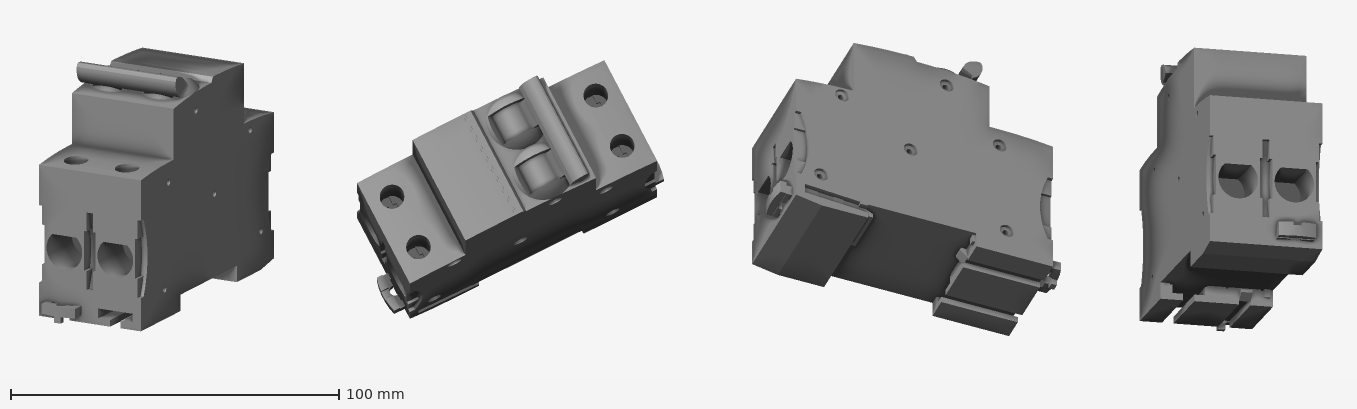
import cadquery as cq


width = 35.4
half_width = width / 2
pole_pitch = width / 2
pole_centres = [-pole_pitch / 2, pole_pitch / 2]
half_length = 42.3
rail_ceiling = 5.2
rail_front = -17.1
rail_rear = 18.6
base_chamfer_length = 8.5
base_chamfer_height = 1.6

deck_end_height = 47.9
deck_mid_height = 48.85
deck_height = 49.15
deck_curve_start = 23.3
deck_curve_mid = (half_length + deck_curve_start) / 2
tower_front = -21.4
tower_rear = deck_curve_start
tower_front_height = 65.3
tower_rear_height = 68.3
label_mid = (14.8, 68.9)
label_end = (3.5, 69.1)
step_foot = (2.5, 67.4)
lever_face_mid = (-9.5, 66.85)

ridge_centres = [5.4, 6.1]
ridge_width = 0.3
ridge_top = 69.3
ridge_height = 0.8

pivot_y = -7.35
pivot_z = 61.15
dome_radius = 10.75
slot_width = 10.0
rotor_radius = 6.75
slot_rear_foot = (-2.0, 65.2)
slot_rear_top = (2.3, 72.0)
slot_front_foot = (-12.6, 63.9)
slot_front_top = (-20.6, 72.0)

rivet_diameter = 2.0
rivet_head_diameter = 4.6
rivet_head_depth = 1.0
rivet_places = [
    (pivot_y, pivot_z),
    (27.1, 46.1),
    (-24.8, 42.8),
    (4.5, 31.7),
    (34.0, 12.3),
    (-27.1, 9.4),
]

screw_y = 34.85
screw_diameter = 7.5
screw_bore_floor = 30.0
screw_thickness = 4.0
screw_slot_width = 1.5
screw_slot_depth = 1.0
screw_cross_length = 3.6
cable_diameter = 12.4
cable_z = 22.0
cable_flat_z = 26.6
cable_depth = 16.0

groove_z = 22.8
groove_height = 24.6
groove_end_depth = 1.75
groove_mid_depth = 4.3
groove_width = 2.2
groove_wide_width = 3.9
groove_wide_height = 12.6

clip_x = pole_centres[0]
clip_zone = (0, 10.0)
clip_head_width = 11.6
clip_head_side = 46.15
clip_head_mid = 46.95
channel_width = 11.9
channel_floor = 2.1
channel_stem_width = 3.6
channel_rib = 0.8
channel_rib_top = 4.75
channel_rib_length = 24.0
tongue_width = 2 * (channel_width / 2 - channel_rib)
hook_nose = [(-14.9, 4.3), (-14.7, 3.9), (-14.7, 3.3)]
hook_foot = 1.1
hook_width = channel_stem_width
pin_width = 2.3
pin_start = -44.9
pin_end = -46.7
lip_thickness = 0.9
lip_inset = 1.0
lip_bottom = 2.6

cutout_width = 7.3
cutout_shoulder = 1.5
cutout_notch_width = 3.1
cutout_notch_end = 3.4

rear_head_start = 44.2
rear_head_bottom = 3.9
rear_head_top = 8.3
rear_cutout_shift = -1.1
rear_groove_width = 2.8
rear_groove_depth = 1.0
rear_tongue = [
    (half_length, 7.0),
    (21.1, 5.5),
    (21.1, 4.75),
    (rail_rear, 4.75),
    (16.2, 3.4),
    (16.2, channel_floor),
    (19.5, channel_floor),
    (half_length, 3.7),
]
window_rear = 39.4
window_depth = 1.5
rear_wing_width = 2 * (clip_x - (-half_width + window_depth))
rear_notches = [(29.4, 34.4), (0, 26.0)]
rear_notch_depth = 0.2

bar_length = 34.4
neck_width = 9.0
neck_thickness = 3.2
neck_angle = 48.5
neck_length = 11.5
bar_base_left = (-12.75, 70.5)
bar_shoulder = (-13.7, 72.3)
bar_top_mid = (-15.5, 73.75)
bar_tip_left = (-18.4, 74.28)
bar_tip = (-18.9, 74.0)
bar_tip_right = (-19.2, 73.2)
bar_front_mid = (-18.6, 69.6)
bar_base_right = (-16.2, 67.5)
bar_heel = (-16.0, 68.3)


def box(x_range, y_range, z_range):
    size = [high - low for low, high in (x_range, y_range, z_range)]
    corner = (x_range[0], y_range[0], z_range[0])
    return cq.Workplane("XY").box(*size, centered=False).translate(corner)


def span(centre, size):
    return (centre - size / 2, centre + size / 2)


def prism(outline, x_range):
    """Extrude a closed (Y, Z) outline along X."""
    length = x_range[1] - x_range[0]
    return outline(cq.Workplane("YZ", origin=(x_range[0], 0, 0))).close().extrude(length)


def polygon_prism(points, x_range):
    return prism(lambda plane: plane.polyline(points), x_range)


def x_cylinder(y, z, diameter, x_range):
    plane = cq.Workplane("YZ", origin=(x_range[0], y, z))
    return plane.circle(diameter / 2).extrude(x_range[1] - x_range[0])


def both_ends(solid):
    """A feature of the front end together with its mirror image at the rear end."""
    return [solid, solid.mirror("XZ")]


def housing_outline(plane):
    return (
        plane.moveTo(-half_length, 0)
        .lineTo(rail_front, 0)
        .lineTo(rail_front, rail_ceiling)
        .lineTo(rail_rear, rail_ceiling)
        .lineTo(rail_rear, 0)
        .lineTo(half_length - base_chamfer_length, 0)
        .lineTo(half_length, base_chamfer_height)
        .lineTo(half_length, deck_end_height)
        .threePointArc((deck_curve_mid, deck_mid_height), (deck_curve_start, deck_height))
        .lineTo(tower_rear, tower_rear_height)
        .threePointArc(label_mid, label_end)
        .lineTo(*step_foot)
        .threePointArc(lever_face_mid, (tower_front, tower_front_height))
        .lineTo(tower_front, deck_height)
        .lineTo(-deck_curve_start, deck_height)
        .threePointArc((-deck_curve_mid, deck_mid_height), (-half_length, deck_end_height))
    )


def dome(x):
    ball = cq.Workplane("XY").sphere(dome_radius).translate((x, pivot_y, pivot_z))
    return ball.intersect(
        box(span(x, pole_pitch), span(pivot_y, 2 * dome_radius), (pivot_z, pivot_z + dome_radius))
    )


def rotor_disc(x):
    return x_cylinder(pivot_y, pivot_z, 2 * rotor_radius, span(x, slot_width))


def lever_slot(x):
    """Pocket that holds the rotor disc, opening upwards between two sloping end walls."""
    opening = [(pivot_y, pivot_z), slot_rear_foot, slot_rear_top, slot_front_top, slot_front_foot]
    return rotor_disc(x).union(polygon_prism(opening, span(x, slot_width)))


def screw_bore(x):
    plane = cq.Workplane("XY", origin=(x, -screw_y, screw_bore_floor))
    return plane.circle(screw_diameter / 2).extrude(deck_height - screw_bore_floor)


def cable_bore(x):
    plane = cq.Workplane("XZ", origin=(x, -half_length, cable_z))
    bore = plane.circle(cable_diameter / 2).extrude(-cable_depth)
    flat = box(
        span(x, cable_diameter),
        (-half_length, -half_length + cable_depth),
        (cable_flat_z, cable_z + cable_diameter),
    )
    return bore.cut(flat)


def end_groove(x):
    """Groove with an arched floor, wider over its middle height."""
    bottom, top = span(groove_z, groove_height)
    end_y = -half_length + groove_end_depth
    arched = prism(
        lambda plane: plane.moveTo(-half_length, bottom)
        .lineTo(end_y, bottom)
        .threePointArc((-half_length + groove_mid_depth, groove_z), (end_y, top))
        .lineTo(-half_length, top),
        span(x, groove_wide_width),
    )
    depth_range = (-half_length, -half_length + groove_mid_depth)
    narrow = box(span(x, groove_width), depth_range, (bottom, top))
    wide = box(span(x, groove_wide_width), depth_range, span(groove_z, groove_wide_height))
    return arched.intersect(narrow.union(wide))


def front_channel(x):
    """T-shaped clip channel, narrowed towards the rail by a tapered rib on each side."""
    length = (-half_length, rail_front)
    channel = box(span(x, channel_width), length, (channel_floor, rail_ceiling))
    stem = box(span(x, channel_stem_width), length, (0, channel_floor))
    for side in (-1, 1):
        wall = x + side * channel_width / 2
        rib = (
            cq.Workplane("XY", origin=(0, 0, channel_floor))
            .polyline(
                [
                    (wall, rail_front - channel_rib_length),
                    (wall, rail_front),
                    (wall - side * channel_rib, rail_front),
                ]
            )
            .close()
            .extrude(channel_rib_top - channel_floor)
        )
        channel = channel.cut(rib)
    return channel.union(stem)


def rail_lip():
    return box(
        (-half_width + lip_inset, clip_x - channel_width / 2),
        (rail_front, rail_front + lip_thickness),
        (lip_bottom, rail_ceiling),
    )


def rear_tongue_solid():
    """Sloping, hooked tongue of the rear clip, with wings that reach under the side window."""
    tongue = polygon_prism(rear_tongue, span(clip_x, channel_width))
    wings = polygon_prism(rear_tongue, span(clip_x, rear_wing_width))
    return tongue.union(wings.intersect(window_region()))


def window_region():
    return box((-half_width, half_width), (0, window_rear), clip_zone)


def rear_channel():
    """Recess that fits the rear tongue, open to the -X side as a long window."""
    window = polygon_prism(rear_tongue, (-half_width, clip_x)).intersect(window_region())
    return rear_tongue_solid().union(window)


def make_housing():
    body = prism(housing_outline, (-half_width, half_width))
    for y in ridge_centres:
        ridge = box((-half_width, half_width), span(y, ridge_width), (ridge_top - ridge_height, ridge_top))
        body = body.union(ridge)
    body = body.union(rail_lip())
    for x in pole_centres:
        body = body.union(dome(x)).cut(lever_slot(x)).cut(front_channel(x))
        for bore in both_ends(screw_bore(x)) + both_ends(cable_bore(x)):
            body = body.cut(bore)
    for x in (-half_width, 0, half_width):
        for groove in both_ends(end_groove(x)):
            body = body.cut(groove)
    for y, z in rivet_places:
        body = body.cut(x_cylinder(y, z, rivet_diameter, (-half_width, half_width)))
        head_range = (-half_width, -half_width + rivet_head_depth)
        body = body.cut(x_cylinder(y, z, rivet_head_diameter, head_range))
    return body.cut(rear_channel())


def neck(x):
    arm = box(span(x, neck_width), span(0, neck_thickness), (0, neck_length))
    arm = arm.rotate((0, 0, 0), (1, 0, 0), 90 - neck_angle)
    return arm.translate((0, pivot_y, pivot_z))


def bar_outline(plane):
    return (
        plane.moveTo(*bar_base_left)
        .lineTo(*bar_shoulder)
        .threePointArc(bar_top_mid, bar_tip_left)
        .lineTo(*bar_tip)
        .lineTo(*bar_tip_right)
        .threePointArc(bar_front_mid, bar_base_right)
        .lineTo(*bar_heel)
    )


def make_handle():
    handle = prism(bar_outline, span(0, bar_length))
    for x in pole_centres:
        handle = handle.union(rotor_disc(x)).union(neck(x))
    return handle.cut(x_cylinder(pivot_y, pivot_z, rivet_diameter, (-half_width, half_width)))


def make_screw(x, y):
    top = screw_bore_floor + screw_thickness
    plane = cq.Workplane("XY", origin=(x, y, screw_bore_floor))
    head = plane.circle(screw_diameter / 2).extrude(screw_thickness)
    slot_range = (top - screw_slot_depth, top)
    slot = box(span(x, screw_diameter), span(y, screw_slot_width), slot_range)
    cross = box(span(x, screw_slot_width), span(y, screw_cross_length), slot_range)
    return head.cut(slot).cut(cross)


def clip_head(inner, z_range):
    """Plate with a bowed outer edge, placed at the front end of the breaker."""
    left, right = span(clip_x, clip_head_width)
    return (
        cq.Workplane("XY", origin=(0, 0, z_range[0]))
        .moveTo(left, -inner)
        .lineTo(left, -clip_head_side)
        .threePointArc((clip_x, -clip_head_mid), (right, -clip_head_side))
        .lineTo(right, -inner)
        .close()
        .extrude(z_range[1] - z_range[0])
    )


def clip_cutout(shift):
    """Screwdriver opening: a wide mouth at the housing wall and a rounded notch beyond it."""
    mouth_y = -half_length - shift
    shoulder_y = mouth_y - cutout_shoulder
    notch_left, notch_right = span(clip_x, cutout_notch_width)
    mouth = box(span(clip_x, cutout_width), (shoulder_y, mouth_y), clip_zone)
    notch = (
        cq.Workplane("XY")
        .moveTo(notch_left, shoulder_y)
        .threePointArc((clip_x, mouth_y - cutout_notch_end), (notch_right, shoulder_y))
        .close()
        .extrude(clip_zone[1])
    )
    return mouth.union(notch).intersect(
        box(span(clip_x, cutout_width), (-clip_head_mid, -half_length), clip_zone)
    )


def make_front_clip():
    head = clip_head(half_length, (channel_floor, rail_ceiling)).cut(clip_cutout(0))
    pin = box(span(clip_x, pin_width), (pin_end, pin_start), (0, channel_floor))
    tongue = box(span(clip_x, tongue_width), (-half_length, rail_front), (channel_floor, rail_ceiling))
    hook_profile = [(rail_front, hook_nose[0][1]), *hook_nose, (rail_front, hook_foot)]
    hook = polygon_prism(hook_profile, span(clip_x, hook_width))
    return head.union(pin).union(tongue).union(hook)


def make_rear_clip():
    head = clip_head(rear_head_start, (rear_head_bottom, rear_head_top))
    plate_heights = (rear_tongue[-1][1], rear_tongue[0][1])
    plate = box(span(clip_x, clip_head_width), (-rear_head_start, -half_length), plate_heights)
    groove = box(
        span(clip_x, rear_groove_width),
        (-clip_head_mid, -rear_head_start),
        (rear_head_top - rear_groove_depth, rear_head_top),
    )
    outside = head.union(plate).cut(groove).cut(clip_cutout(rear_cutout_shift)).mirror("XZ")
    tongue = rear_tongue_solid()
    side = clip_x - rear_wing_width / 2
    for y_range in rear_notches:
        tongue = tongue.cut(box((side, side + rear_notch_depth), y_range, clip_zone))
    return outside.union(tongue)


housing = make_housing()
handle = make_handle()
screws = [make_screw(x, y) for x in pole_centres for y in (-screw_y, screw_y)]
front_clip = make_front_clip()
rear_clip = make_rear_clip()

result = cq.Compound.makeCompound(
    [housing.val(), handle.val(), *[screw.val() for screw in screws], front_clip.val(), rear_clip.val()]
)